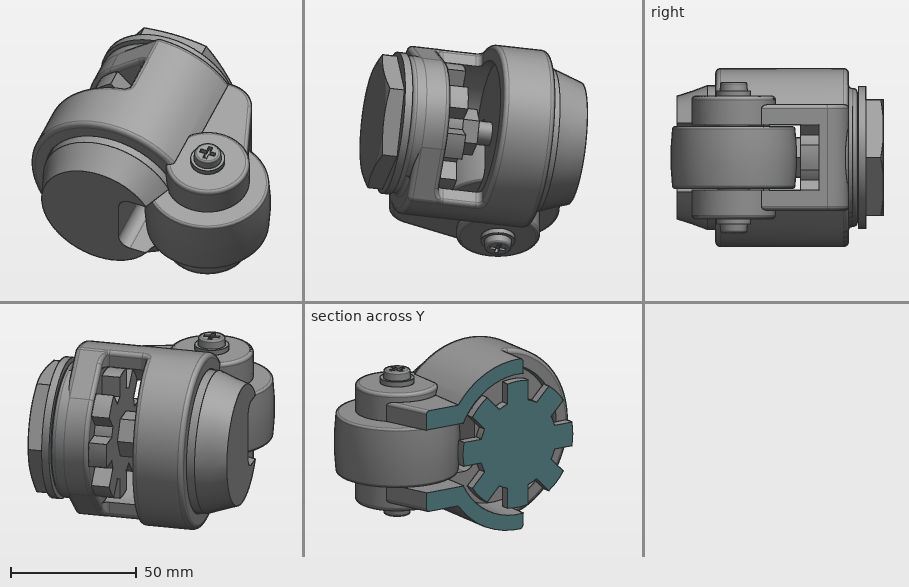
import cadquery as cq
import math


HOUSING_R = 35.4
HOUSING_BOTTOM = -7.2
HOUSING_TOP = 45.6
EDGE_FILLET = 2
BORE_R = 29.0
CEILING = 33.8
COLLAR_R = 27.4
COLLAR_TOP = 49.1
COLLAR_FILLET = 1.8
FLARE_END_X = -5.9
COLLAR_FLARE = 1.6

WINDOW_WALL_X = -2.5
WINDOW_FLOOR = 15.8
WINDOW_FLOOR_RISE = 2.45
WINDOW_CORNER_R = 2.4
WINDOW_FILLET = 1.8

SHOULDER_TIP_X = -1.7

AXLE_X = 37.6
SLOT_HALF = 12.9
ARM_Z = 21.0
ARM_ARC_R = 12.1
ARM_ARC_X = 29.9
ARM_LEAN = 18.2
ARM_ROOT_X = 14.7
BOSS_R = 16.6
BOSS_Z = 24.4
FORK_FILLET = 1.5

SCREW_WASHER_R = 6.8
SCREW_WASHER_TOP = 26.5
SCREW_HEAD_R = 5.5
SCREW_HEAD_TOP = 29.9
SCREW_HEAD_TAPER = 6
SCREW_HEAD_FILLET = 0.8
CROSS_LENGTH = 6.3
CROSS_WIDTH = 1.6
CROSS_DEPTH = 2

WHEEL_R = 25.0
WHEEL_SIDE_R = 24.2
WHEEL_HALF = 12.3
WHEEL_FILLET = 1
SPACER_R = 6.3

NUT_FLATS = 46.1
NUT_TOP = 59.5
NUT_CHAMFER = 1.1
MOUNT_WASHER_R = 28.2
MOUNT_WASHER_BOTTOM = 49.5
MOUNT_WASHER_TOP = 52.5
NECK_R = 25.5

GEAR_BOTTOM = 26.5
GEAR_TEETH = 8
GEAR_R = 26.3
GEAR_CORE_R = 18.2
GEAR_TOOTH_WIDTH = 10.0
HEX_CORNERS = 18.2
HEX_BOTTOM = 18.0
STEM_R = 4.7

FOOT_R = 28.6
FOOT_BASE_R = 24.4
FOOT_TOP = 11.8
FOOT_CONE_TOP = -10.4
FOOT_BOTTOM = -22.5
FOOT_POCKET_X = 8.6
FOOT_POCKET_HALF = 13.6
FOOT_POCKET_CORNER_R = 4.9


def along_y(y):
    """Workplane at height y whose extrusions run toward +Y (local axes: Z, X)."""
    return cq.Workplane("ZX", origin=(0, y, 0))


def disc(radius, bottom, top):
    return along_y(bottom).circle(radius).extrude(top - bottom)


def z_disc(radius, bottom, top):
    """Disc on the axle line."""
    return cq.Workplane("XY", origin=(AXLE_X, 0, bottom)).circle(radius).extrude(top - bottom)


def both_sides(shape):
    return shape.union(shape.mirror("XY"))


def shoulder_cutter():
    """Region at -X outside two planes that run from the housing surface tangent to the collar."""
    tip_angle = math.acos(SHOULDER_TIP_X / HOUSING_R)
    tip_z = HOUSING_R * math.sin(tip_angle)
    tangent_angle = tip_angle + math.acos(COLLAR_R / HOUSING_R)
    tangent_x = COLLAR_R * math.cos(tangent_angle)
    tangent_z = COLLAR_R * math.sin(tangent_angle)
    far = 2 * HOUSING_R
    bottom = CEILING - WINDOW_CORNER_R
    return (
        along_y(bottom)
        .moveTo(tip_z, SHOULDER_TIP_X)
        .lineTo(tangent_z, tangent_x)
        .threePointArc((0, -COLLAR_R), (-tangent_z, tangent_x))
        .lineTo(-tip_z, SHOULDER_TIP_X)
        .lineTo(-far, SHOULDER_TIP_X)
        .lineTo(-far, -far)
        .lineTo(far, -far)
        .lineTo(far, SHOULDER_TIP_X)
        .close()
        .extrude(HOUSING_TOP)
    )


def window():
    far_x = -2 * HOUSING_R
    slope = WINDOW_FLOOR_RISE / HOUSING_R
    far_floor = WINDOW_FLOOR + slope * (far_x - WINDOW_WALL_X)
    return (
        cq.Workplane("XY", origin=(0, 0, -HOUSING_R - 1))
        .moveTo(WINDOW_WALL_X, WINDOW_FLOOR)
        .lineTo(WINDOW_WALL_X, CEILING)
        .lineTo(far_x, CEILING)
        .lineTo(far_x, far_floor)
        .close()
        .extrude(2 * (HOUSING_R + 1))
        .edges("|Z and >X").fillet(WINDOW_CORNER_R)
    )


def edges_between(x_max, y_min, y_max):
    """Select edges by centre, below x_max and between two heights."""
    reach = 2 * HOUSING_R
    return cq.selectors.BoxSelector((-reach, y_min, -reach), (x_max, y_max, reach))


def window_rim():
    lowest = WINDOW_FLOOR - 2 * WINDOW_FLOOR_RISE
    return edges_between(0, lowest, CEILING - WINDOW_CORNER_R / 4)


def shoulder_underside():
    return edges_between(WINDOW_WALL_X - WINDOW_CORNER_R, CEILING - 0.1, CEILING + 0.1)


def arm():
    """Side plate of the fork at +Z with its axle boss."""
    lean = math.radians(ARM_LEAN)
    arc_y = HOUSING_TOP - ARM_ARC_R
    mid = (math.radians(90) + lean) / 2
    end_x = ARM_ARC_X + ARM_ARC_R * math.cos(lean)
    end_y = arc_y + ARM_ARC_R * math.sin(lean)
    foot_x = end_x + end_y * math.tan(lean)
    plate = (
        cq.Workplane("XY")
        .moveTo(ARM_ROOT_X, HOUSING_TOP)
        .lineTo(ARM_ARC_X, HOUSING_TOP)
        .threePointArc(
            (ARM_ARC_X + ARM_ARC_R * math.cos(mid), arc_y + ARM_ARC_R * math.sin(mid)),
            (end_x, end_y),
        )
        .lineTo(foot_x, 0)
        .lineTo(ARM_ROOT_X, 0)
        .close()
        .extrude(ARM_Z)
        .faces(">Z").edges(">Y or >X or (not(<X or <Y))").fillet(FORK_FILLET)
    )
    boss = z_disc(BOSS_R, 0, BOSS_Z).faces(">Z").edges().fillet(FORK_FILLET)
    return plate.union(boss)


def collar():
    """Rounded collar with a hollow blend that reaches as far as the flat housing top."""
    base = HOUSING_TOP - EDGE_FILLET
    body = disc(COLLAR_R, base, COLLAR_TOP).faces(">Y").edges().fillet(COLLAR_FILLET)
    bend = COLLAR_FLARE * (1 - math.sqrt(0.5))
    start = math.acos(FLARE_END_X / (COLLAR_R + COLLAR_FLARE))
    flare = (
        cq.Workplane("XY")
        .moveTo(COLLAR_R - COLLAR_FLARE, base)
        .lineTo(COLLAR_R + COLLAR_FLARE, base)
        .lineTo(COLLAR_R + COLLAR_FLARE, HOUSING_TOP)
        .threePointArc((COLLAR_R + bend, HOUSING_TOP + bend), (COLLAR_R, HOUSING_TOP + COLLAR_FLARE))
        .lineTo(COLLAR_R - COLLAR_FLARE, HOUSING_TOP + COLLAR_FLARE)
        .close()
        .revolve(2 * math.degrees(start), (0, 0, 0), (0, 1, 0))
        .rotate((0, 0, 0), (0, 1, 0), -math.degrees(start))
    )
    return body.union(flare)


def housing():
    body = disc(HOUSING_R, HOUSING_BOTTOM, HOUSING_TOP)
    body = body.faces("<Y").edges().fillet(EDGE_FILLET)
    body = body.cut(window())
    body = body.edges(window_rim()).edges("not |Z").fillet(WINDOW_FILLET)
    body = body.cut(shoulder_cutter())
    body = body.edges(shoulder_underside()).fillet(WINDOW_FILLET)
    body = body.faces(">Y").edges().fillet(EDGE_FILLET)
    body = body.union(collar()).union(both_sides(arm()))
    bore = disc(BORE_R, -BOSS_R - 1, CEILING)
    slot_length = AXLE_X + BOSS_R + 1
    slot_height = CEILING + BOSS_R + 1
    slot = cq.Workplane("XY").box(slot_length, slot_height, 2 * SLOT_HALF, centered=(False, False, True))
    slot = slot.translate((0, CEILING - slot_height, 0))
    return body.cut(bore).cut(slot)


def wheel():
    tread = (
        cq.Workplane("XZ")
        .moveTo(0, -WHEEL_HALF)
        .lineTo(WHEEL_SIDE_R, -WHEEL_HALF)
        .threePointArc((WHEEL_R, 0), (WHEEL_SIDE_R, WHEEL_HALF))
        .lineTo(0, WHEEL_HALF)
        .close()
        .revolve(360, (0, 0, 0), (0, 1, 0))
        .faces(">Z or <Z").edges().fillet(WHEEL_FILLET)
        .translate((AXLE_X, 0, 0))
    )
    return tread.union(z_disc(SPACER_R, -SLOT_HALF, SLOT_HALF))


def screw():
    """Washer and cross-recessed head on the +Z boss."""
    head = (
        cq.Workplane("XY", origin=(AXLE_X, 0, SCREW_WASHER_TOP))
        .circle(SCREW_HEAD_R)
        .extrude(SCREW_HEAD_TOP - SCREW_WASHER_TOP, taper=SCREW_HEAD_TAPER)
        .faces(">Z").edges().fillet(SCREW_HEAD_FILLET)
    )
    recess = (
        cq.Workplane("XY", origin=(AXLE_X, 0, SCREW_HEAD_TOP))
        .rect(CROSS_LENGTH, CROSS_WIDTH).extrude(-CROSS_DEPTH)
    )
    recess = recess.union(recess.rotate((AXLE_X, 0, 0), (AXLE_X, 0, 1), 90))
    return z_disc(SCREW_WASHER_R, BOSS_Z, SCREW_WASHER_TOP).union(head.cut(recess))


def mounting_nut():
    corners = NUT_FLATS / math.cos(math.radians(30))
    height = NUT_TOP - MOUNT_WASHER_TOP
    nut = along_y(MOUNT_WASHER_TOP).polygon(6, corners).extrude(height)
    nut = nut.rotate((0, 0, 0), (0, 1, 0), 90)
    corner_cone = (
        disc(corners / 2, MOUNT_WASHER_TOP, NUT_TOP)
        .faces(">Y").edges()
        .chamfer(NUT_CHAMFER, (corners - NUT_FLATS) / 2)
    )
    washer = disc(MOUNT_WASHER_R, MOUNT_WASHER_BOTTOM, MOUNT_WASHER_TOP)
    neck = disc(NECK_R, COLLAR_TOP, MOUNT_WASHER_BOTTOM)
    return nut.intersect(corner_cone).union(washer).union(neck)


def adjuster():
    """Toothed gear under the collar, with the hexagon and stem that carry the foot."""
    height = CEILING - GEAR_BOTTOM
    gear = disc(GEAR_CORE_R, GEAR_BOTTOM, CEILING)
    for i in range(GEAR_TEETH // 2):
        bar = along_y(GEAR_BOTTOM).rect(2 * GEAR_R, GEAR_TOOTH_WIDTH).extrude(height)
        gear = gear.union(bar.rotate((0, 0, 0), (0, 1, 0), 360 / GEAR_TEETH * i))
    gear = gear.intersect(disc(GEAR_R, GEAR_BOTTOM, CEILING))
    hexagon = along_y(HEX_BOTTOM).polygon(6, HEX_CORNERS).extrude(GEAR_BOTTOM - HEX_BOTTOM)
    hexagon = hexagon.rotate((0, 0, 0), (0, 1, 0), 90)
    return gear.union(hexagon).union(disc(STEM_R, FOOT_TOP, HEX_BOTTOM))


def foot():
    profile = [
        (0, FOOT_TOP),
        (FOOT_R, FOOT_TOP),
        (FOOT_R, FOOT_CONE_TOP),
        (FOOT_BASE_R, FOOT_BOTTOM),
        (0, FOOT_BOTTOM),
    ]
    body = cq.Workplane("XY").polyline(profile).close().revolve(360, (0, 0, 0), (0, 1, 0))
    pocket = (
        cq.Workplane("XY")
        .box(FOOT_R, FOOT_TOP - FOOT_BOTTOM, 2 * FOOT_POCKET_HALF, centered=(False, False, True))
        .edges("|Y and <X").fillet(FOOT_POCKET_CORNER_R)
        .translate((FOOT_POCKET_X, FOOT_BOTTOM, 0))
    )
    return body.cut(pocket)


result = housing()
for piece in (mounting_nut(), adjuster(), foot(), wheel(), both_sides(screw())):
    result = result.union(piece)